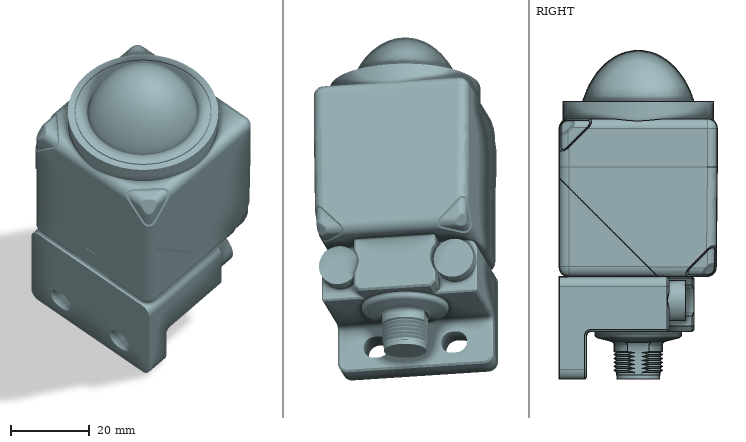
import cadquery as cq
import math

WIDTH = 40.1
HALF = WIDTH / 2
HEIGHT = 83.4
ROUND = 2.5

OVERLAP = 0.8
TOLERANCE = 0.1

HOUSING_BASE = 26.0
HOUSING_TOP = 66.1
SEAM = 53.9
DRAFT = 0.29
DIAGONAL_TOP = 51.05

RECESS_DEPTH = 0.4
RECESS_ROUND = 1.8
RECESS_REACH = 9.7
FACET_REACH = 5.6
FACET_ROUND = 0.6

RELIEF_DEPTH = 0.21
RELIEF_TOP = 28.3
RELIEF_TOP_HALF = 6.0
RELIEF_BASE_HALF = 6.8
MARK_Z = 33.6
MARK_LENGTH = 3.7
MARK_HEIGHT = 0.25
MARK_DEPTH = 0.1

RING_RADIUS = 19.1
RING_TOP = 70.5
RING_SINK = 4.2
GROOVE_OUTER = 17.4
GROOVE_WIDTH = 0.3
GROOVE_DEPTH = 0.4
DOME_SEMI_HEIGHT = 20.85
DOME_SEMI_WIDTH = 15.3

BRACKET_BACK = 7.75
BRACKET_EDGE = 0.4
ARM_BASE = 12.1
PLATE_BACK = -13.1
PLATE_EDGE = 0.5
INNER_ROUND = 1.1
SLOT_SPACING = 20.1
SLOT_HEIGHT = 5.6
SLOT_LENGTH = 6.7
SLOT_Z = 6.1

SCREW_X = 14.85
SCREW_Z = 19.9
SCREW_RADIUS = 5.1
SCREW_BACK = 11.9
SCREW_CLEARANCE = 0.5
BLOCK_HALF = 10.5
BLOCK_BACK = 14.2
BLOCK_EDGE = 0.5
BLOCK_LOWER_EDGE = 1.3
BLOCK_UPPER_EDGE = 0.4
POCKET_EDGE = 0.4

FLANGE_RADIUS = 11.0
FLANGE_RIM = 11.5
FLANGE_FACE = 10.4
FLANGE_FACE_RADIUS = 10.0
FLANGE_ROUND = 1.1
CONE_END = 9.6
CONE_END_RADIUS = 6.8
NECK_RADIUS = 6.1
NECK_TOP = 8.7
THREAD_TOP = 7.0
THREAD_BASE = 1.1
FIRST_ROOT = 1.75
THREAD_PITCH = 1.0
THREAD_COUNT = 5
ROOT_RADIUS = 5.5
TIP_RADIUS = 5.4
FLAT_OFFSET = 5.4
FLAT_TOP = 9.35


def box(x0, x1, y0, y1, z0, z1):
    return cq.Workplane("XY").box(x1 - x0, y1 - y0, z1 - z0, centered=False).translate((x0, y0, z0))


def drafted_housing(inset, radius):
    """Housing with rounded edges; inset moves every face inwards."""
    side = HALF - inset
    base = HOUSING_BASE + inset
    top = HOUSING_TOP - inset
    upper = box(-side, side, -side, side, SEAM, top)
    lower = (
        cq.Workplane("XY", origin=(0, 0, base))
        .center(0, -DRAFT / 2)
        .rect(2 * (side - DRAFT), 2 * side - DRAFT)
        .workplane(offset=SEAM - base)
        .center(0, DRAFT / 2)
        .rect(2 * side, 2 * side)
        .loft(ruled=True)
    )
    lower = lower.edges("not >Z").fillet(radius)
    upper = upper.edges("not <Z").fillet(radius)
    return upper.union(lower)


def narrow_housing(inset, radius):
    """Straight-sided housing as wide as the base of the drafted one."""
    side = HALF - inset
    narrow = side - DRAFT
    body = box(-narrow, narrow, -side, side, HOUSING_BASE + inset, HOUSING_TOP - inset)
    return body.edges().fillet(radius)


def corner_wedge(x_sign, y_sign, z_sign, reach):
    """Tetrahedron at a housing corner, cut off at an equal reach along all three edges."""
    corner_z = HOUSING_TOP if z_sign > 0 else HOUSING_BASE
    corner = cq.Vector(x_sign * HALF, y_sign * HALF, corner_z)
    tips = [
        corner - cq.Vector(x_sign * reach, 0, 0),
        corner - cq.Vector(0, y_sign * reach, 0),
        corner - cq.Vector(0, 0, z_sign * reach),
    ]
    triangles = [tips, [corner, tips[0], tips[1]], [corner, tips[1], tips[2]], [corner, tips[2], tips[0]]]
    faces = [cq.Face.makeFromWires(cq.Wire.makePolygon(points, close=True)) for points in triangles]
    wedge = cq.Solid.makeSolid(cq.Shell.makeShell(faces))
    return cq.Workplane("XY").newObject([wedge])


def housing():
    """Rounded housing with corner recesses, front edge relief and front mark."""
    below_diagonal = (
        cq.Workplane("YZ", origin=(-WIDTH, 0, 0))
        .polyline([
            (-HALF, DIAGONAL_TOP),
            (DIAGONAL_TOP - HALF - HOUSING_BASE, HOUSING_BASE),
            (-HALF, HOUSING_BASE),
        ])
        .close()
        .extrude(2 * WIDTH)
    )
    body = drafted_housing(0, ROUND).cut(below_diagonal)
    body = body.union(narrow_housing(0, ROUND).intersect(below_diagonal))

    inner = drafted_housing(RECESS_DEPTH, RECESS_ROUND)
    for x_sign in (-1, 1):
        for y_sign, z_sign in ((-1, 1), (1, -1)):
            kept = inner.cut(corner_wedge(x_sign, y_sign, z_sign, FACET_REACH))
            outward = cq.Vector(x_sign, y_sign, z_sign)
            kept = kept.faces(cq.DirectionMinMaxSelector(outward)).edges().fillet(FACET_ROUND)
            body = body.cut(corner_wedge(x_sign, y_sign, z_sign, RECESS_REACH).cut(kept))

    relief = (
        cq.Workplane("XZ", origin=(0, -HALF + ROUND, 0))
        .polyline([
            (-RELIEF_BASE_HALF, HOUSING_BASE),
            (RELIEF_BASE_HALF, HOUSING_BASE),
            (RELIEF_TOP_HALF, RELIEF_TOP),
            (-RELIEF_TOP_HALF, RELIEF_TOP),
        ])
        .close()
        .extrude(ROUND)
    )
    body = body.cut(relief.cut(narrow_housing(RELIEF_DEPTH, ROUND - RELIEF_DEPTH)))

    mark = (
        cq.Workplane("XZ", origin=(0, -HALF, MARK_Z))
        .slot2D(MARK_LENGTH, MARK_HEIGHT)
        .extrude(-MARK_DEPTH)
    )
    return body.cut(mark)


def ring_and_dome():
    """Grooved ring carrying a dome shaped as the cap of an ellipsoid."""
    ring_base = HOUSING_TOP - RING_SINK
    ring = cq.Workplane("XY", origin=(0, 0, ring_base)).circle(RING_RADIUS).extrude(RING_TOP - ring_base)
    groove = (
        cq.Workplane("XY", origin=(0, 0, RING_TOP - GROOVE_DEPTH))
        .circle(GROOVE_OUTER)
        .circle(GROOVE_OUTER - GROOVE_WIDTH)
        .extrude(GROOVE_DEPTH)
    )
    ring = ring.cut(groove)
    dome_centre = HEIGHT - DOME_SEMI_HEIGHT
    start_angle = math.asin((RING_TOP - dome_centre) / DOME_SEMI_HEIGHT)

    def dome_point(t):
        angle = start_angle + t * (math.pi / 2 - start_angle)
        return (DOME_SEMI_WIDTH * math.cos(angle), dome_centre + DOME_SEMI_HEIGHT * math.sin(angle))

    dome = (
        cq.Workplane("XZ")
        .moveTo(0, RING_TOP)
        .lineTo(*dome_point(0))
        .parametricCurve(dome_point, N=20, makeWire=False)
        .lineTo(0, RING_TOP)
        .close()
        .revolve(360, (0, 0, 0), (0, 1, 0))
    )
    return ring.union(dome)


def bracket():
    """Arm under the housing with a slotted mounting plate at the front."""
    side_profile = (
        cq.Workplane("YZ", origin=(-HALF, 0, 0))
        .moveTo(-HALF, 0)
        .lineTo(PLATE_BACK, 0)
        .lineTo(PLATE_BACK, ARM_BASE - INNER_ROUND)
        .radiusArc((PLATE_BACK + INNER_ROUND, ARM_BASE), INNER_ROUND)
        .lineTo(BRACKET_BACK, ARM_BASE)
        .lineTo(BRACKET_BACK, HOUSING_BASE)
        .lineTo(-HALF, HOUSING_BASE)
        .close()
        .extrude(WIDTH)
    )
    body = side_profile.edges("|Y").edges("<Z or >Z").fillet(ROUND)
    body = body.faces(">Y").chamfer(BRACKET_EDGE)
    plate_rim = cq.selectors.BoxSelector(
        (-WIDTH, PLATE_BACK - TOLERANCE, -TOLERANCE),
        (WIDTH, PLATE_BACK + TOLERANCE, ARM_BASE - INNER_ROUND - TOLERANCE),
    )
    body = body.edges(plate_rim).edges("not |Y").chamfer(PLATE_EDGE)
    slots = (
        cq.Workplane("XZ", origin=(0, -HALF, SLOT_Z))
        .pushPoints([(-SLOT_SPACING / 2, 0), (SLOT_SPACING / 2, 0)])
        .slot2D(SLOT_LENGTH, SLOT_HEIGHT)
        .extrude(-WIDTH)
    )
    return body.cut(slots)


def clamp():
    """Block behind the arm with a clearance pocket around the screw on either side."""
    def screw_cylinder(x, radius, back):
        return cq.Workplane("XZ", origin=(x, 0, SCREW_Z)).circle(radius).extrude(-back)

    block = box(-BLOCK_HALF, BLOCK_HALF, 0, BLOCK_BACK, ARM_BASE, HOUSING_BASE)
    block = block.edges("|Y and <Z").chamfer(BLOCK_LOWER_EDGE)
    block = block.edges("|Y and >Z").chamfer(BLOCK_UPPER_EDGE)
    block = block.faces(">Y").chamfer(BLOCK_EDGE)
    for x in (-SCREW_X, SCREW_X):
        block = block.cut(screw_cylinder(x, SCREW_RADIUS + SCREW_CLEARANCE, BLOCK_BACK))
        side = math.copysign(BLOCK_HALF, x)
        pocket_mouth = cq.selectors.BoxSelector(
            (side - TOLERANCE, 0, SCREW_Z - SCREW_RADIUS),
            (side + TOLERANCE, BLOCK_BACK, SCREW_Z + SCREW_RADIUS),
        )
        block = block.edges(pocket_mouth).edges("|Y").chamfer(POCKET_EDGE)
    for x in (-SCREW_X, SCREW_X):
        block = block.union(screw_cylinder(x, SCREW_RADIUS, SCREW_BACK))
    return block


def connector():
    """Flange and threaded stub pointing down, with a flat on either side."""
    outline = (
        cq.Workplane("XZ")
        .moveTo(0, 0)
        .lineTo(TIP_RADIUS, 0)
        .lineTo(TIP_RADIUS, THREAD_BASE)
        .lineTo(ROOT_RADIUS, THREAD_BASE)
        .lineTo(ROOT_RADIUS, FIRST_ROOT)
    )
    for turn in range(THREAD_COUNT):
        root_z = FIRST_ROOT + turn * THREAD_PITCH
        outline = outline.lineTo(NECK_RADIUS, root_z + THREAD_PITCH / 2)
        outline = outline.lineTo(ROOT_RADIUS, root_z + THREAD_PITCH)
    body = (
        outline.lineTo(NECK_RADIUS, THREAD_TOP)
        .lineTo(NECK_RADIUS, NECK_TOP)
        .radiusArc((CONE_END_RADIUS, CONE_END), CONE_END - NECK_TOP)
        .lineTo(FLANGE_FACE_RADIUS, FLANGE_FACE)
        .radiusArc((FLANGE_RADIUS, FLANGE_RIM), -FLANGE_ROUND)
        .lineTo(FLANGE_RADIUS, ARM_BASE + OVERLAP)
        .lineTo(0, ARM_BASE + OVERLAP)
        .close()
        .revolve(360, (0, 0, 0), (0, 1, 0))
    )
    for x_start in (-HALF, FLAT_OFFSET):
        flat = box(x_start, x_start + HALF - FLAT_OFFSET, -HALF, HALF, THREAD_BASE, FLAT_TOP)
        body = body.cut(flat)
    return body


result = housing().union(ring_and_dome()).union(bracket()).union(clamp()).union(connector())